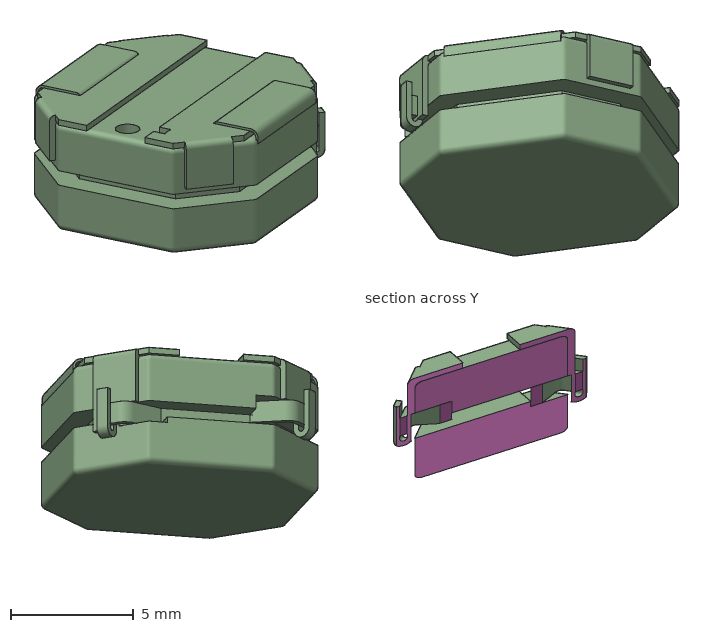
import cadquery as cq
import math


half_width = 5.15
corner_cut = 2.5
edge_radius = 0.25
bottom_flange_height = 2.0
top_flange_height = 2.01
hole_diameter = 1.0
hole_depth = 0.5
hole_y = -4.15

winding_height = 0.64
winding_inset = 1.0

plate_thickness = 0.25
plate_inner_x = 1.35
plate_outer_x = 4.79
notch_size = 0.5

leg_width = 2.0
leg_offset = 0.28
front_leg_drop = 1.99
hook_width = 0.5
hook_gap = 0.25
hook_flap_height = 1.61

lead_height = 0.88
lead_bottom_left = 2.32
lead_straight = 0.59
lead_bend_radius = 0.31
lead_slope = math.radians(25)
lead_clearance = 0.14

strap_thickness = 0.1
strap_width = 4.99
strap_end_x = 3.09
strap_end_radius = 0.25

winding_bottom = bottom_flange_height
winding_top = winding_bottom + winding_height
flange_top = winding_top + top_flange_height
plate_top = flange_top + plate_thickness
strap_top = plate_top + strap_thickness

lead_bottom_right = winding_top - lead_height

corner_face = (2 * half_width - corner_cut) / math.sqrt(2)
leg_outside = corner_face + plate_thickness
flap_inside = leg_outside + hook_gap
flap_outside = flap_inside + plate_thickness

leg_start = leg_offset - leg_width / 2
leg_end = leg_offset + leg_width / 2
hook_start = -hook_width / 2
hook_end = hook_width / 2

winding_half = half_width - winding_inset


def corner_point(outward, along):
    """Plan position at the back left corner, from its two diagonal directions."""
    return ((along - outward) / math.sqrt(2), (along + outward) / math.sqrt(2))


lead_turn = math.pi / 4 + lead_slope
lead_outer_radius = lead_bend_radius + hook_gap
lead_outer_corner = corner_point(flap_inside, lead_straight + lead_outer_radius * math.tan(lead_turn / 2))
lead_inner_corner = corner_point(leg_outside, lead_straight + lead_bend_radius * math.tan(lead_turn / 2))


def lead_foot(corner):
    """Where a sloping side of the lead, starting at its corner, reaches the winding."""
    return (corner[0] + (corner[1] - winding_half) / math.tan(lead_slope), winding_half)


lead_outer_foot = lead_foot(lead_outer_corner)
lead_inner_foot = lead_foot(lead_inner_corner)


def octagon(inset, bottom, height):
    """Square block with cut corners, its sides all moved in by the inset."""
    half = half_width - inset
    cut = corner_cut - inset * (2 - math.sqrt(2))
    return (
        cq.Workplane("XY", origin=(0, 0, bottom))
        .rect(2 * half, 2 * half)
        .extrude(height)
        .edges("|Z")
        .chamfer(cut)
    )


def lead_slot(bottom):
    """Room for a lead, open to the back and to the corner face."""
    slot_start = -half_width
    return cq.Workplane("XY").box(
        lead_outer_foot[0] - slot_start, winding_inset, lead_height, centered=False
    ).translate((slot_start, winding_half, bottom))


def strap_recess(side):
    """Room in the side of the top flange for the lower end of a strap."""
    return cq.Workplane("XY").box(
        strap_thickness, strap_width, edge_radius, centered=(True, True, False)
    ).translate((side * (half_width - strap_thickness / 2), 0, flange_top - edge_radius))


def make_bottom_flange():
    flange = octagon(0, 0, bottom_flange_height).edges("|Z").fillet(edge_radius)
    flange = flange.faces("<Z").edges().fillet(edge_radius)
    return flange.cut(lead_slot(lead_bottom_right).mirror("YZ"))


def make_top_flange():
    flange = octagon(0, winding_top, top_flange_height).edges("|Z").fillet(edge_radius)
    flange = flange.faces(">Z").edges().fillet(edge_radius)
    flange = flange.cut(lead_slot(lead_bottom_left))
    for side in (-1, 1):
        flange = flange.cut(strap_recess(side))
    hole = (
        cq.Workplane("XY", origin=(0, hole_y, flange_top))
        .circle(hole_diameter / 2)
        .extrude(-hole_depth)
    )
    return flange.cut(hole)


def make_lead(bottom):
    """Flat wire from the winding, bent to lie against the back left leg."""
    outline = [
        corner_point(leg_outside, hook_start),
        corner_point(flap_inside, hook_start),
        lead_outer_corner,
        lead_outer_foot,
        lead_inner_foot,
        lead_inner_corner,
    ]
    lead = cq.Workplane("XY", origin=(0, 0, bottom)).polyline(outline).close().extrude(lead_height)
    bend_middle = bottom + lead_height / 2
    for corner, radius in (
        (lead_outer_corner, lead_outer_radius),
        (lead_inner_corner, lead_bend_radius),
    ):
        nearest = cq.selectors.NearestToPointSelector((*corner, bend_middle))
        lead = lead.edges(nearest).fillet(radius)
    return lead


def make_winding():
    winding = octagon(winding_inset, winding_bottom, winding_height)
    winding = winding.union(make_lead(lead_bottom_left))
    return winding.union(make_lead(lead_bottom_right).mirror("YZ"))


def corner_section(along):
    """Upright plane across the corner face: outward along the diagonal, then Z."""
    origin = (*corner_point(0, along), 0)
    return cq.Workplane(cq.Plane(origin=origin, xDir=(-1, 1, 0), normal=(1, 1, 0)))


def make_leg(bottom):
    """Strip folded down from the plate edge, the inside of the fold fitting the flange edge."""
    fold_middle = plate_thickness / math.sqrt(2)
    edge_middle = edge_radius * (1 - 1 / math.sqrt(2))
    return (
        corner_section(leg_start)
        .moveTo(corner_face, bottom)
        .lineTo(leg_outside, bottom)
        .lineTo(leg_outside, flange_top)
        .threePointArc(
            (corner_face + fold_middle, flange_top + fold_middle),
            (corner_face, plate_top),
        )
        .lineTo(corner_face - edge_radius, plate_top)
        .lineTo(corner_face - edge_radius, flange_top)
        .threePointArc(
            (corner_face - edge_middle, flange_top - edge_middle),
            (corner_face, flange_top - edge_radius),
        )
        .close()
        .extrude(leg_width)
    )


def make_hook(bottom):
    """Tongue at the foot of a leg, turned outward and up around the lead."""
    bend_middle = (leg_outside + flap_inside) / 2
    inner_radius = hook_gap / 2
    outer_radius = inner_radius + plate_thickness
    flap_top = bottom + hook_flap_height
    return (
        corner_section(hook_start)
        .moveTo(corner_face, bottom)
        .threePointArc((bend_middle, bottom - outer_radius), (flap_outside, bottom))
        .lineTo(flap_outside, flap_top)
        .lineTo(flap_inside, flap_top)
        .lineTo(flap_inside, bottom)
        .threePointArc((bend_middle, bottom - inner_radius), (leg_outside, bottom))
        .close()
        .extrude(hook_width)
    )


def make_hooked_leg(lead_bottom):
    """Back leg with its hook, cut away beside the hook where the lead passes."""
    bottom = lead_bottom - lead_clearance
    lead_passage = (
        corner_section(hook_end)
        .moveTo(corner_face, bottom)
        .lineTo(leg_outside, bottom)
        .lineTo(leg_outside, lead_bottom + lead_height)
        .lineTo(corner_face, lead_bottom + lead_height)
        .close()
        .extrude(leg_end - hook_end)
    )
    return make_leg(bottom).cut(lead_passage).union(make_hook(bottom))


def make_terminal(lead_bottom):
    """Left terminal: a plate on the top flange with a leg at each corner."""
    plate_area = cq.Workplane("XY").box(
        plate_outer_x - plate_inner_x, 2 * half_width, plate_thickness, centered=(False, True, False)
    ).translate((-plate_outer_x, 0, flange_top))
    plate = octagon(0, flange_top, plate_thickness).intersect(plate_area)
    front_leg = make_leg(plate_top - front_leg_drop).mirror("XZ")
    return plate.union(make_hooked_leg(lead_bottom)).union(front_leg)


def cut_notch(terminal):
    """Square notch in the inner edge of the right plate, beside the hole."""
    notch = cq.Workplane("XY").box(
        notch_size, notch_size, plate_thickness, centered=(False, True, False)
    ).translate((plate_inner_x, hole_y, flange_top))
    return terminal.cut(notch)


def make_strap():
    """Left strap: flat on the plate, rounded over its outer edge and down to the flange."""
    bend_inner = half_width - strap_thickness - plate_outer_x
    bend_outer = half_width - plate_outer_x
    bend_z = strap_top - bend_outer
    inner_middle = bend_inner / math.sqrt(2)
    outer_middle = bend_outer / math.sqrt(2)
    bottom = flange_top - edge_radius

    end_angle = math.acos(1 - strap_thickness / strap_end_radius)
    arc_start_x = -strap_end_x - strap_end_radius * math.sin(end_angle)
    arc_middle = (
        arc_start_x + strap_end_radius * math.sin(end_angle / 2),
        strap_top - strap_end_radius * (1 - math.cos(end_angle / 2)),
    )
    return (
        cq.Workplane("XZ")
        .moveTo(-half_width, bottom)
        .lineTo(-half_width, bend_z)
        .threePointArc((-plate_outer_x - outer_middle, bend_z + outer_middle), (-plate_outer_x, strap_top))
        .lineTo(arc_start_x, strap_top)
        .threePointArc(arc_middle, (-strap_end_x, plate_top))
        .lineTo(-plate_outer_x, plate_top)
        .threePointArc(
            (-plate_outer_x - inner_middle, bend_z + inner_middle),
            (-half_width + strap_thickness, bend_z),
        )
        .lineTo(-half_width + strap_thickness, bottom)
        .close()
        .extrude(strap_width / 2, both=True)
    )


bottom_flange = make_bottom_flange()
top_flange = make_top_flange()
winding = make_winding()
left_terminal = make_terminal(lead_bottom_left)
right_terminal = cut_notch(make_terminal(lead_bottom_right).mirror("YZ"))
left_strap = make_strap()
right_strap = left_strap.mirror("YZ")

result = cq.Compound.makeCompound(
    [
        bottom_flange.solids().val(),
        top_flange.solids().val(),
        winding.solids().val(),
        left_terminal.solids().val(),
        right_terminal.solids().val(),
        left_strap.solids().val(),
        right_strap.solids().val(),
    ]
)